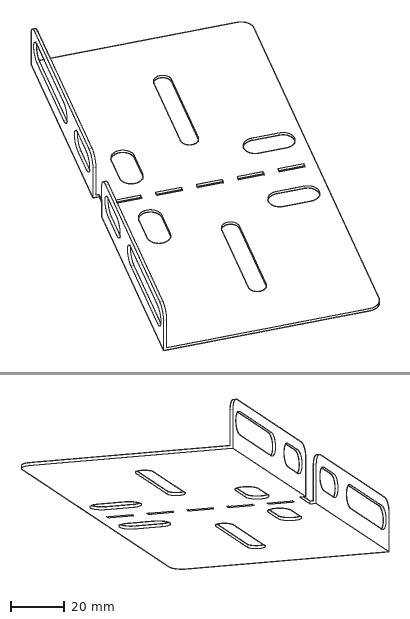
import cadquery as cq

length = 174.0
depth = 86.0
height = 20.0
thickness = 1.2
corner_radius = 5.0

notch_width = 11.5
notch_depth = 2.5

wide_slot_width = 9.0
short_slot_length = 20.0

flange_slot_z = 11.5
flange_long_slot_length = 44.0
flange_long_slot_x = 61.6
flange_short_slot_x = 20.0

base_long_slot_length = 42.0
base_long_slot_width = 7.0
base_long_slot_x = 44.5
base_middle_y = 44.2

front_slot_x = 18.1
front_slot_y = 17.0
rear_slot_x = 16.2
rear_slot_y = 72.2

perforation_count = 5
perforation_pitch = 16.0
perforation_length = 10.1
perforation_width = 1.7


def mirrored_slots(plane, x, offset, slot_length, slot_width, angle=0):
    """Pair of slot cutters through the sheet, mirrored about the middle plane."""
    return (
        cq.Workplane(plane)
        .pushPoints([(-x, offset), (x, offset)])
        .slot2D(slot_length, slot_width, angle)
        .extrude(thickness, both=True)
    )


def make_base():
    """Flat plate with rounded rear corners, slots and perforations."""
    base = cq.Workplane("XY").box(length, depth, thickness, centered=(True, False, False))
    base = base.edges("|Z and >Y").fillet(corner_radius)
    base = base.cut(mirrored_slots("XY", base_long_slot_x, base_middle_y,
                                   base_long_slot_length, base_long_slot_width))
    base = base.cut(mirrored_slots("XY", front_slot_x, front_slot_y,
                                   short_slot_length, wide_slot_width))
    base = base.cut(mirrored_slots("XY", rear_slot_x, rear_slot_y,
                                   short_slot_length, wide_slot_width, angle=90))
    perforations = (
        cq.Workplane("XY")
        .center(0, base_middle_y)
        .rarray(1.7, perforation_pitch, 1, perforation_count)
        .rect(perforation_width, perforation_length)
        .extrude(thickness)
    )
    return base.cut(perforations)


def make_flange():
    """Two upright tabs with rounded upper corners and slots."""
    tab_length = (length - notch_width) / 2
    tab_x = (length + notch_width) / 4
    tabs = (
        cq.Workplane("XY")
        .pushPoints([(-tab_x, thickness / 2), (tab_x, thickness / 2)])
        .rect(tab_length, thickness)
        .extrude(height)
        .edges("|Y and >Z")
        .fillet(corner_radius)
    )
    tabs = tabs.cut(mirrored_slots("XZ", flange_long_slot_x, flange_slot_z,
                                   flange_long_slot_length, wide_slot_width))
    return tabs.cut(mirrored_slots("XZ", flange_short_slot_x, flange_slot_z,
                                   short_slot_length, wide_slot_width))


notch = cq.Workplane("XY").box(notch_width, notch_depth, height, centered=(True, False, False))

result = make_base().union(make_flange()).cut(notch)